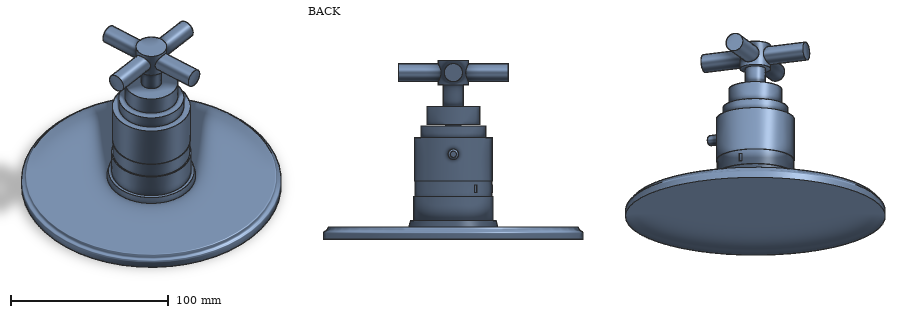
import cadquery as cq

plate_radius = 82.5
plate_height = 8.0
rim_wall_height = 3.6
cove_bottom = (81.5, 5.1)
cove_top = (79.7, 7.1)
plate_flat_radius = 78.5

foot_bottom_radius = 28.2
foot_top_radius = 27.2
foot_top = 11.9

sleeve_radius = 25.3
sleeve_top = 27.2
dial_radius = 24.5
dial_top = 37.1
body_radius = 24.8
body_top = 64.5
cap_radius = 20.6
cap_top = 72.0
neck_radius = 5.0
neck_top = 72.8
knob_radius = 16.8
knob_top = 84.4
stem_radius = 6.5

total_height = 113.6
hub_radius = 9.7
hub_height = 15.5
hub_bottom = total_height - hub_height
arm_radius = 5.8
arm_span = 70.0
arm_height = total_height - hub_height / 2

button_radius = 3.3
button_tip = 32.2
button_height = 54.0
button_round = 1.8
button_face_radius = 2.0

mark_width = 1.8
mark_height = 4.8
mark_centre_height = (sleeve_top + dial_top) / 2
mark_angles = (0, -55)


def make_plate():
    """Disc with a rim of three tangent arcs: round, cove, round."""
    profile = (
        cq.Workplane("XZ")
        .lineTo(plate_radius, 0)
        .lineTo(plate_radius, rim_wall_height)
        .tangentArcPoint(cove_bottom, relative=False)
        .tangentArcPoint(cove_top, relative=False)
        .tangentArcPoint((plate_flat_radius, plate_height), relative=False)
        .lineTo(0, plate_height)
        .close()
    )
    return profile.revolve(360, (0, 0, 0), (0, 1, 0))


def make_foot():
    profile = (
        cq.Workplane("XZ")
        .moveTo(0, plate_height)
        .lineTo(foot_bottom_radius, plate_height)
        .lineTo(foot_top_radius, foot_top)
        .lineTo(0, foot_top)
        .close()
    )
    return profile.revolve(360, (0, 0, 0), (0, 1, 0))


def make_step(radius, bottom, top):
    return cq.Workplane("XY").workplane(offset=bottom).circle(radius).extrude(top - bottom)


def make_arm(plane):
    """Rod through the hub, centred on the main axis and lying along the plane's normal."""
    rod = cq.Workplane(plane).circle(arm_radius).extrude(arm_span / 2, both=True)
    return rod.translate((0, 0, arm_height))


def make_button():
    """Pin along +Y whose end is rounded down to a small flat face."""
    profile = (
        cq.Workplane("XY")
        .lineTo(button_radius, 0)
        .lineTo(button_radius, button_tip - button_round)
        .tangentArcPoint((button_face_radius, button_tip), relative=False)
        .lineTo(0, button_tip)
        .close()
    )
    pin = profile.revolve(360, (0, 0, 0), (0, 1, 0))
    return pin.translate((0, 0, button_height))


def make_mark(angle):
    """Upright bar on the dial, curved flush with the body above."""
    bar = cq.Workplane("XY").box(body_radius, mark_width, mark_height)
    bar = bar.translate((-body_radius, 0, mark_centre_height))
    bar = bar.rotate((0, 0, 0), (0, 0, 1), angle)
    return bar.intersect(make_step(body_radius, sleeve_top, dial_top))


result = make_plate().union(make_foot())

steps = (
    (sleeve_radius, sleeve_top),
    (dial_radius, dial_top),
    (body_radius, body_top),
    (cap_radius, cap_top),
    (neck_radius, neck_top),
    (knob_radius, knob_top),
    (stem_radius, hub_bottom),
    (hub_radius, total_height),
)
step_bottom = foot_top
for step_radius, step_top in steps:
    result = result.union(make_step(step_radius, step_bottom, step_top))
    step_bottom = step_top

for arm_plane in ("XZ", "YZ"):
    result = result.union(make_arm(arm_plane))

result = result.union(make_button())

for mark_angle in mark_angles:
    result = result.union(make_mark(mark_angle))